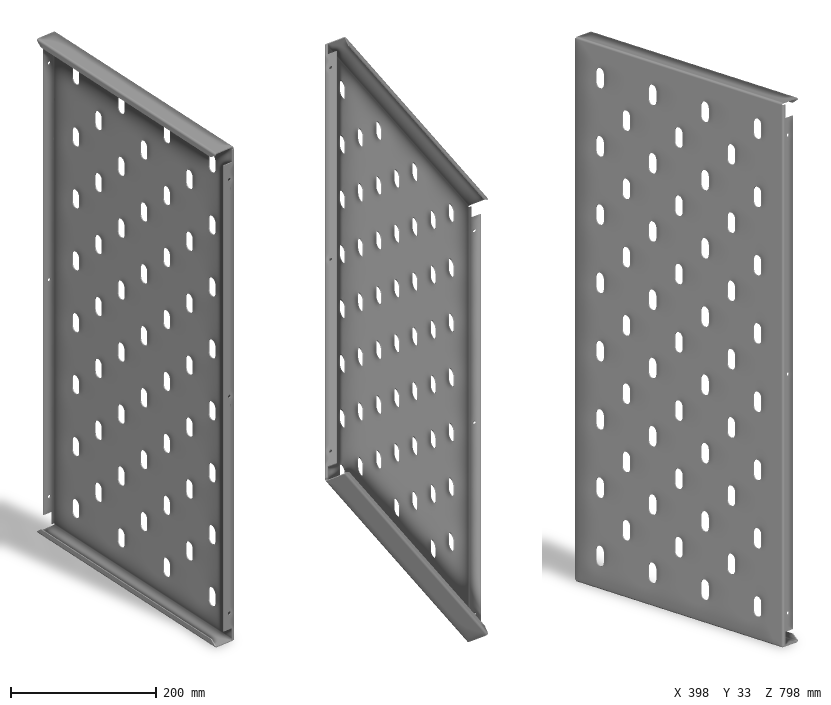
import cadquery as cq

width = 398.0
depth = 33.0
height = 798.0

thickness = 1.5
inner_radius = 1.5
outer_radius = inner_radius + thickness

side_flange_depth = 20.0
side_flange_end_gap = 23.0
side_root_depth = 5.0
side_length = height - 2 * outer_radius

end_flange_width = width - 2 * outer_radius
lip_height = 10.0
lip_taper = 9.0

slot_width = 15.0
slot_length = 30.0
slot_pitch = 100.0
main_columns = 4
main_rows = 8

side_hole_diameter = 5.0
side_hole_spacing = 350.0
side_hole_from_back = 10.0

back_y = depth / 2
front_y = -depth / 2
top_z = height / 2


def box_between(x_range, y_range, z_range):
    """Axis-aligned box given by its limits along X, Y and Z."""
    size = [high - low for low, high in (x_range, y_range, z_range)]
    corner = (x_range[0], y_range[0], z_range[0])
    return cq.Workplane("XY").box(*size, centered=False).translate(corner)


def make_side_channel():
    """Panel with both side flanges: a U section running along Z."""
    flange_front_y = back_y - side_flange_depth
    half_width = width / 2
    half_inside = half_width - thickness
    z_range = (-side_length / 2, side_length / 2)
    outer = box_between((-half_width, half_width), (flange_front_y, back_y), z_range)
    inner = box_between((-half_inside, half_inside), (flange_front_y, back_y - thickness), z_range)
    outer = outer.edges("|Z and >Y").fillet(outer_radius)
    inner = inner.edges("|Z and >Y").fillet(inner_radius)
    return outer.cut(inner)


def make_side_notches():
    """Clearance at the ends of the side flanges, leaving only their root."""
    x_range = (-width / 2, width / 2)
    y_range = (front_y, back_y - side_root_depth)
    upper = box_between(x_range, y_range, (top_z - side_flange_end_gap, top_z))
    return upper.union(upper.mirror("XY"))


def make_end_channel():
    """Panel with both end flanges and lips: a C section running along X."""
    outer = cq.Workplane("XY").box(end_flange_width, depth, height)
    inner = cq.Workplane("XY").box(end_flange_width, depth - 2 * thickness, height - 2 * thickness)
    outer = outer.edges("|X").fillet(outer_radius)
    inner = inner.edges("|X").fillet(inner_radius)
    opening = box_between(
        (-end_flange_width / 2, end_flange_width / 2),
        (front_y, front_y + thickness),
        (lip_height - top_z, top_z - lip_height),
    )
    return outer.cut(inner).cut(opening)


def make_lip_tapers():
    """Triangular cut-offs at both ends of both lips."""
    lip_end_x = end_flange_width / 2
    fold_z = top_z - outer_radius
    edge_z = top_z - lip_height
    corner = (
        cq.Workplane("XZ", origin=(0, front_y, 0))
        .polyline([(lip_end_x, fold_z), (lip_end_x - lip_taper, edge_z), (lip_end_x, edge_z)])
        .close()
        .extrude(-outer_radius)
    )
    right_corners = corner.union(corner.mirror("XY"))
    return right_corners.union(right_corners.mirror("YZ"))


def make_slot_grid(columns, rows):
    """Grid of upright slot cutters centred on the panel."""
    return (
        cq.Workplane("XZ", origin=(0, back_y, 0))
        .rarray(slot_pitch, slot_pitch, columns, rows)
        .slot2D(slot_length, slot_width, 90)
        .extrude(thickness)
    )


def make_side_holes():
    """Three cross holes running through both side flanges."""
    hole_y = back_y - side_hole_from_back
    return (
        cq.Workplane("YZ", origin=(-width / 2, 0, 0))
        .pushPoints([(hole_y, z) for z in (-side_hole_spacing, 0, side_hole_spacing)])
        .circle(side_hole_diameter / 2)
        .extrude(width)
    )


side_channel = make_side_channel().cut(make_side_notches())
end_channel = make_end_channel().cut(make_lip_tapers())

result = (
    side_channel.union(end_channel)
    .cut(make_slot_grid(main_columns, main_rows))
    .cut(make_slot_grid(main_columns - 1, main_rows - 1))
    .cut(make_side_holes())
)